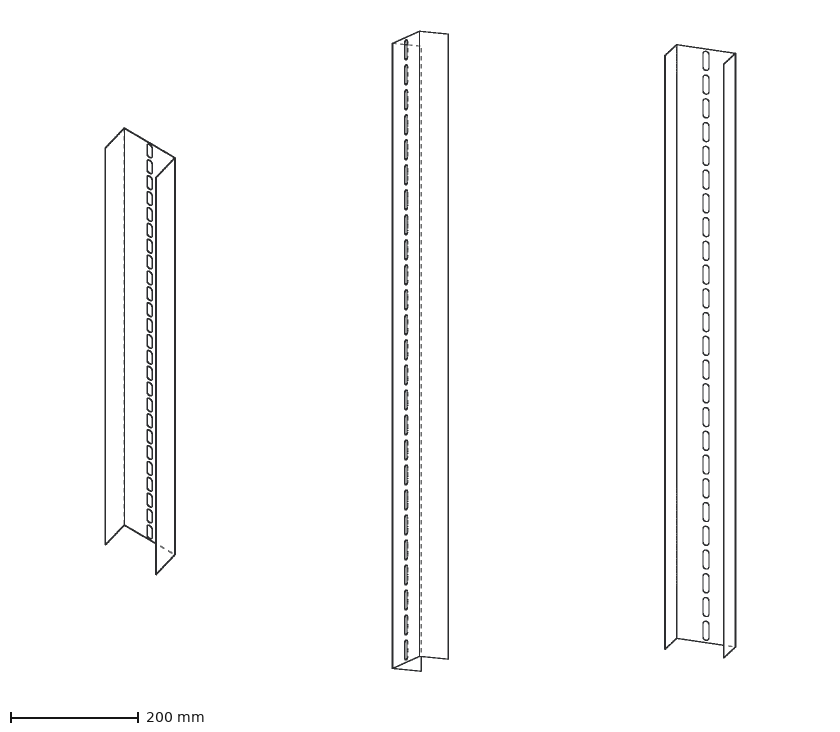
import cadquery as cq

channel_width = 100.0
flange_depth = 50.0
channel_length = 1000.0
wall = 1.25

slot_pitch = 40.0
slot_length = 32.0
slot_width = 10.0
slot_count = int(channel_length // slot_pitch)


def make_channel():
    """U-shaped channel along Z, with its web on the +Y side and its flanges toward -Y."""
    outer = cq.Workplane("XY").box(channel_width, flange_depth, channel_length)
    inner_width = channel_width - 2 * wall
    inner = cq.Workplane("XY").box(inner_width, flange_depth, channel_length)
    return outer.cut(inner.translate((0, -wall, 0)))


def make_slots():
    """Round-ended slots through the web, evenly spaced and centred along the length."""
    return (
        cq.Workplane("XZ", origin=(0, flange_depth / 2, 0))
        .rarray(1, slot_pitch, 1, slot_count)
        .slot2D(slot_length, slot_width, 90)
        .extrude(wall)
    )


result = make_channel().cut(make_slots())